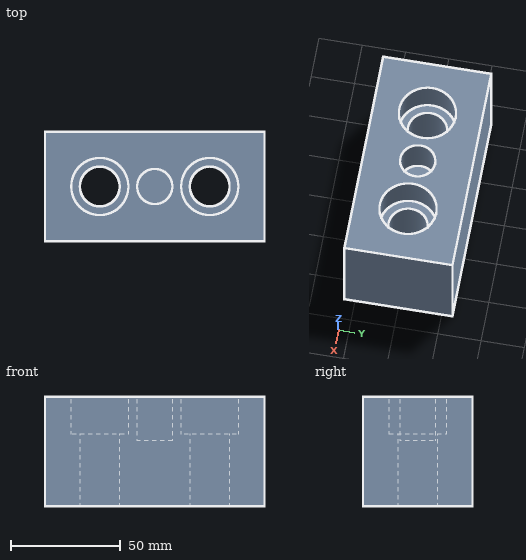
import cadquery as cq

length = 100
width = 50
height = 50

hole_spacing = 50
bore_diameter = 18
counterbore_diameter = 26
counterbore_depth = 17

centre_diameter = 16
centre_depth = 20

block = cq.Workplane("XY").box(length, width, height)

stepped = (
    block.faces(">Z").workplane()
    .pushPoints([(-hole_spacing / 2, 0), (hole_spacing / 2, 0)])
    .cboreHole(bore_diameter, counterbore_diameter, counterbore_depth)
)

result = stepped.faces(">Z").workplane(origin=(0, 0, 0)).hole(centre_diameter, centre_depth)